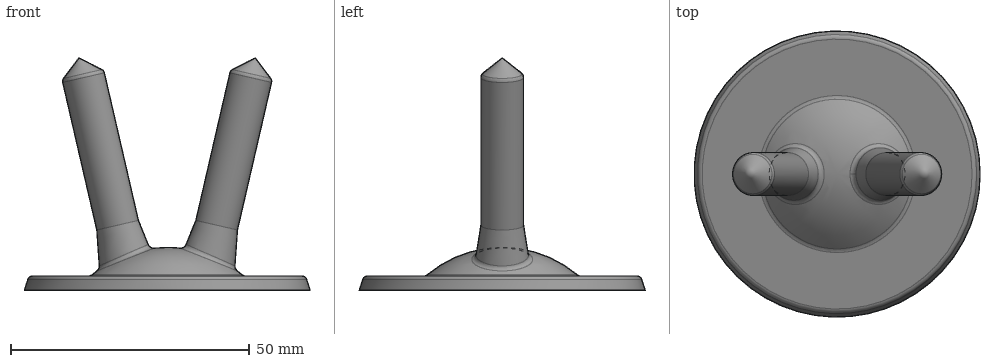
import cadquery as cq
import math

BASE_DIAMETER = 60.0
BASE_HEIGHT = 3.0
BASE_TAPER = 18.0
RIM_FILLET = 1.0

DOME_RADIUS = 16.0
DOME_HEIGHT = 6.0
DOME_FILLET = 1.2

PEG_DIAMETER = 9.0
PEG_LEAN = 13.0
TIP_X = 18.5
TIP_Z = 48.7
TIP_SLOPE = 40.0
TIP_FILLET = 1.0
PEG_LENGTH = 36.0
FOOT_TAPER = 9.0
FOOT_LENGTH = 10.2
FOOT_FILLET = 1.2


def make_base():
    disc = cq.Workplane("XY").circle(BASE_DIAMETER / 2).extrude(BASE_HEIGHT, taper=BASE_TAPER)
    return disc.faces(">Z").edges().fillet(RIM_FILLET)


def make_dome():
    sphere_radius = (DOME_RADIUS**2 + DOME_HEIGHT**2) / (2 * DOME_HEIGHT)
    apex_z = BASE_HEIGHT + DOME_HEIGHT
    half_angle = math.asin(DOME_RADIUS / sphere_radius) / 2
    arc_middle = (
        sphere_radius * math.sin(half_angle),
        apex_z - sphere_radius * (1 - math.cos(half_angle)),
    )
    return (
        cq.Workplane("XZ")
        .lineTo(DOME_RADIUS, 0)
        .lineTo(DOME_RADIUS, BASE_HEIGHT)
        .threePointArc(arc_middle, (0, apex_z))
        .close()
        .revolve(360, (0, 0), (0, 1))
    )


def make_peg(side):
    """Make a pointed peg with a flared foot, leaning towards X = side."""
    radius = PEG_DIAMETER / 2
    tip_height = radius * math.tan(math.radians(TIP_SLOPE))
    foot_radius = radius + FOOT_LENGTH * math.tan(math.radians(FOOT_TAPER))
    peg = (
        cq.Workplane("XZ")
        .lineTo(radius, -tip_height)
        .lineTo(radius, -PEG_LENGTH)
        .lineTo(foot_radius, -PEG_LENGTH - FOOT_LENGTH)
        .lineTo(0, -PEG_LENGTH - FOOT_LENGTH)
        .close()
        .revolve(360, (0, 0), (0, 1))
    )
    shoulder = cq.selectors.BoxSelector(
        (-radius, -radius, -tip_height - TIP_FILLET),
        (radius, radius, -tip_height + TIP_FILLET),
        boundingbox=False,
    )
    peg = peg.edges("%CIRCLE").edges(shoulder).fillet(TIP_FILLET)
    return peg.rotate((0, 0, 0), (0, 1, 0), side * PEG_LEAN).translate((side * TIP_X, 0, TIP_Z))


def foot_edges(body):
    """Return the curves where the flared feet meet the dome."""
    return body.faces("%CONE").edges("not %CIRCLE").edges("not %LINE")


body = make_base().union(make_dome())
dome_rim = cq.selectors.RadiusNthSelector(0)
body = body.faces("%SPHERE").edges("%CIRCLE").edges(dome_rim).fillet(DOME_FILLET)
for side in (-1, 1):
    body = body.union(make_peg(side))
result = foot_edges(body).fillet(FOOT_FILLET)